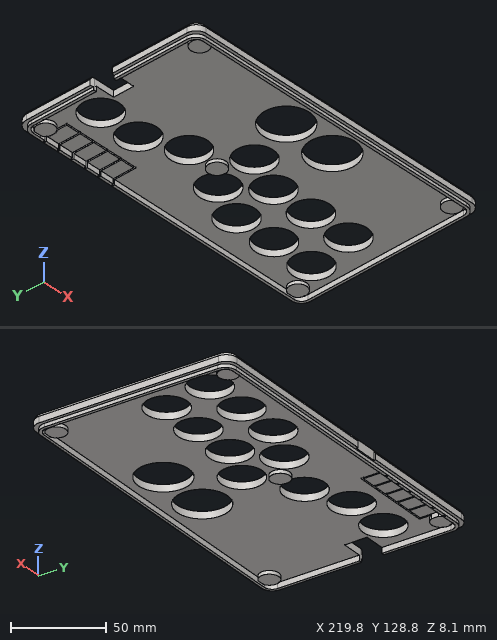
import cadquery as cq

length = 219.8
width = 128.8
height = 8.1
corner_radius = 7.0

lip_height = 2.2
lip_inset = 2.0
bevel_height = 2.0
bevel_inset = 1.0
plate_thickness = 4.6
wall_thickness = 4.0
plate_underside = height - plate_thickness
cavity_corner_radius = corner_radius - (wall_thickness - lip_inset)

notch_depth = 17.4
notch_width = 14.3
notch_center_y = 4.0
notch_flare = 0.7
notch_flare_length = 2.6

recess_center_x = -16.0
recess_width = 16.0

button_diameter = 26.0
thumb_diameter = 32.0
button_pitch = 29.0
upper_row_start = (30.5, 37.0)
lower_row_start = (25.0, 5.5)
left_row_start = (-86.8, 25.5)
right_row_length = 3
left_row_length = 2
single_buttons = [(-31.0, 14.0), (4.0, 25.5), (-1.5, -5.5)]
thumb_buttons = [(-13.5, -39.1), (22.2, -39.1)]

tongue_count = 5
tongue_pitch = 10.5
slot_width = 0.99
slot_first_x = -91.5
slot_bottom_y = 45.0
slot_top_y = 61.5

boss_diameter = 12.0
boss_height = 2.2
corner_boss_x = 97.5
corner_boss_y = 55.0
middle_boss = (-11.0, 12.5)


def rounded_block(inset, radius, bottom, top):
    """Case outline shrunk by inset, with rounded corners, extruded between two heights."""
    return (
        cq.Workplane("XY", origin=(0, 0, bottom))
        .rect(length - 2 * inset, width - 2 * inset)
        .extrude(top - bottom)
        .edges("|Z")
        .fillet(radius)
    )


def box_between(x_range, y_range, z_range):
    """Axis-aligned box given by its limits on each axis."""
    sizes = [high - low for low, high in (x_range, y_range, z_range)]
    corner = (x_range[0], y_range[0], z_range[0])
    return cq.Workplane("XY").box(*sizes, centered=False).translate(corner)


def button_row(start, count):
    """Centers of evenly spaced buttons running along +X."""
    return [(start[0] + i * button_pitch, start[1]) for i in range(count)]


def make_shell():
    skirt = rounded_block(0, corner_radius, lip_height, height)
    skirt = skirt.faces(">Z").edges().chamfer(bevel_height, bevel_inset)
    lip = rounded_block(lip_inset, corner_radius, 0, lip_height)
    cavity = rounded_block(wall_thickness, cavity_corner_radius, 0, plate_underside)
    return skirt.union(lip).cut(cavity)


def make_bosses():
    corners = [(sx * corner_boss_x, sy * corner_boss_y) for sx in (-1, 1) for sy in (-1, 1)]
    return (
        cq.Workplane("XY", origin=(0, 0, plate_underside - boss_height))
        .pushPoints(corners + [middle_boss])
        .circle(boss_diameter / 2)
        .extrude(boss_height)
    )


def make_notch():
    """Straight notch whose mouth flares outwards near the outer face."""
    outer_x = -length / 2
    inner_x = outer_x + notch_depth
    flare_end_x = outer_x + notch_flare_length
    half = notch_width / 2
    mouth_half = half + notch_flare
    outline = [
        (outer_x, mouth_half),
        (flare_end_x, half),
        (inner_x, half),
        (inner_x, -half),
        (flare_end_x, -half),
        (outer_x, -mouth_half),
    ]
    return (
        cq.Workplane("XY")
        .polyline(outline)
        .close()
        .extrude(height)
        .translate((0, notch_center_y, 0))
    )


def make_recess():
    half = recess_width / 2
    return box_between(
        (recess_center_x - half, recess_center_x + half),
        (width / 2 - bevel_inset, width / 2),
        (0, height),
    )


def make_button_holes():
    small = (
        button_row(upper_row_start, right_row_length)
        + button_row(lower_row_start, right_row_length)
        + button_row(left_row_start, left_row_length)
        + single_buttons
    )
    holes = cq.Workplane("XY").pushPoints(small).circle(button_diameter / 2).extrude(height)
    thumbs = cq.Workplane("XY").pushPoints(thumb_buttons).circle(thumb_diameter / 2).extrude(height)
    return holes.union(thumbs)


def make_tongue_slots():
    half = slot_width / 2
    slot_last_x = slot_first_x + tongue_count * tongue_pitch
    slots = box_between(
        (slot_first_x - half, slot_last_x + half),
        (slot_bottom_y, slot_bottom_y + slot_width),
        (0, height),
    )
    for i in range(tongue_count + 1):
        x = slot_first_x + i * tongue_pitch
        slots = slots.union(
            box_between((x - half, x + half), (slot_bottom_y, slot_top_y), (0, height))
        )
    return slots


result = (
    make_shell()
    .union(make_bosses())
    .cut(make_notch())
    .cut(make_recess())
    .cut(make_button_holes())
    .cut(make_tongue_slots())
)